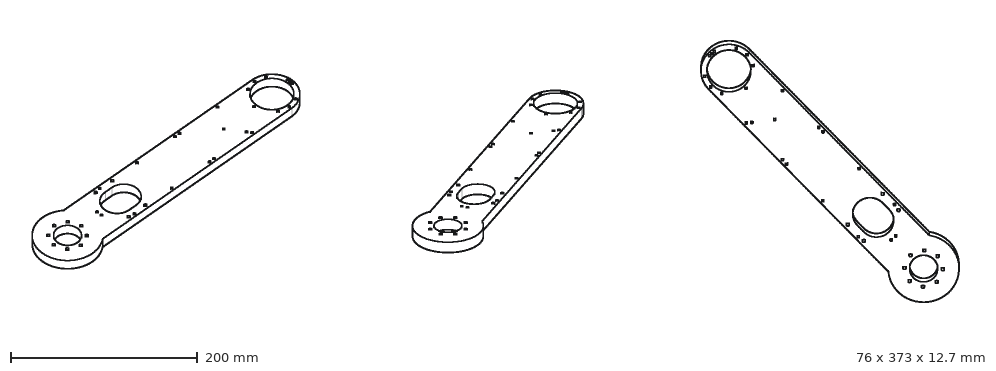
import cadquery as cq
import math

thickness = 12.7
hub_radius = 38.0
arm_width = 60.0
total_length = 373.0
tip_radius = arm_width / 2
tip_y = total_length - hub_radius - tip_radius

hub_bore_diameter = 30.0
tip_bore_diameter = 47.0
slot_width = 37.0
slot_length = 47.0
slot_y = 79.0

hub_bolt_radius = 20.5
hub_bolt_count = 8
tip_bolt_radius = 26.6
tip_bolt_count = 6

bolt_diameter = 3.3
screw_diameter = 2.5

edge_hole_x = tip_bolt_radius
pair_half_spacing = 3.35
edge_group_y = 189.5
edge_group_reach = 60.0
slot_screw_y = 74.0
slot_bolt_x = 25.4
slot_bolt_reach = 12.5
hub_pair_y = 47.3

single_holes = [(21.75, 245.8), (1.7, 231.5)]


def make_plate():
    """Union of the hub disk, the straight arm and the tip disk."""
    hub = cq.Workplane("XY").circle(hub_radius).extrude(thickness)
    arm = cq.Workplane("XY").center(0, tip_y / 2).rect(arm_width, tip_y).extrude(thickness)
    tip = cq.Workplane("XY").center(0, tip_y).circle(tip_radius).extrude(thickness)
    return hub.union(arm).union(tip)


def through_holes(points, diameter):
    """Cylinders through the full thickness at the given points."""
    return cq.Workplane("XY").pushPoints(points).circle(diameter / 2).extrude(thickness)


def bolt_circle(center_y, radius, count):
    """Evenly spaced points around (0, center_y), the first one on the +Y side."""
    angles = [math.pi / 2 + 2 * math.pi * i / count for i in range(count)]
    return [(radius * math.cos(a), center_y + radius * math.sin(a)) for a in angles]


def mirrored(x, y_values):
    """Points at -x and +x for every y value."""
    return [(side * x, y) for y in y_values for side in (-1, 1)]


def around(center, reach):
    """The two values at equal distance below and above a center."""
    return [center - reach, center + reach]


def make_slot():
    """Obround opening with its long axis along the arm."""
    return cq.Workplane("XY").center(0, slot_y).slot2D(slot_length, slot_width, 90).extrude(thickness)


bolt_points = bolt_circle(0, hub_bolt_radius, hub_bolt_count)
bolt_points += mirrored(slot_bolt_x, around(slot_y, slot_bolt_reach))

screw_points = bolt_circle(tip_y, tip_bolt_radius, tip_bolt_count)
screw_points += mirrored(edge_hole_x, around(edge_group_y, pair_half_spacing))
screw_points += mirrored(edge_hole_x, [slot_screw_y, tip_y])
screw_points += mirrored(edge_hole_x, around(edge_group_y, edge_group_reach))
screw_points += mirrored(pair_half_spacing, [hub_pair_y, tip_y + tip_bolt_radius])
screw_points += single_holes

result = make_plate()
result = result.cut(through_holes([(0, 0)], hub_bore_diameter))
result = result.cut(through_holes([(0, tip_y)], tip_bore_diameter))
result = result.cut(make_slot())
result = result.cut(through_holes(bolt_points, bolt_diameter))
result = result.cut(through_holes(screw_points, screw_diameter))